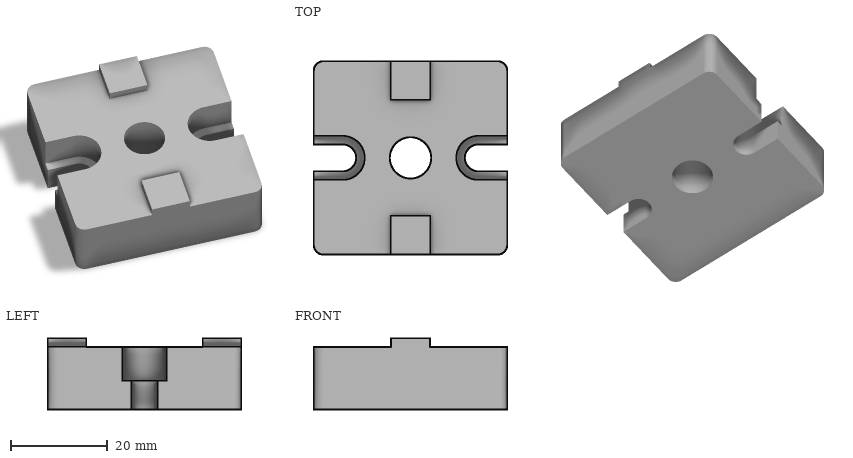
import cadquery as cq

side = 40.0
block_height = 13.0
corner_radius = 2.0

key_width = 8.1
key_length = 8.0
key_height = 1.8

bore_diameter = 8.5

slot_center_inset = 6.0
slot_width = 5.5
head_slot_width = 9.1
head_slot_depth = 7.0


def make_block():
    block = cq.Workplane("XY").box(side, side, block_height, centered=(True, True, False))
    return block.edges("|Z").fillet(corner_radius)


def make_key(y_sign):
    y_center = y_sign * (side - key_length) / 2
    key = cq.Workplane("XY").box(key_width, key_length, key_height, centered=(True, True, False))
    return key.translate((0, y_center, block_height))


def make_open_slot(x_sign, width, floor_z):
    """Round-ended slot from the X side inward, cut from floor_z up to the top face."""
    x_edge = x_sign * side / 2
    x_center = x_edge - x_sign * slot_center_inset
    x_tip = x_center - x_sign * width / 2
    return (
        cq.Workplane("XY")
        .workplane(offset=floor_z)
        .moveTo(x_edge, -width / 2)
        .lineTo(x_center, -width / 2)
        .threePointArc((x_tip, 0), (x_center, width / 2))
        .lineTo(x_edge, width / 2)
        .close()
        .extrude(block_height - floor_z)
    )


def make_bore():
    return cq.Workplane("XY").circle(bore_diameter / 2).extrude(block_height)


result = make_block().cut(make_bore())
for sign in (-1, 1):
    result = result.union(make_key(sign))
    result = result.cut(make_open_slot(sign, slot_width, 0))
    result = result.cut(make_open_slot(sign, head_slot_width, block_height - head_slot_depth))